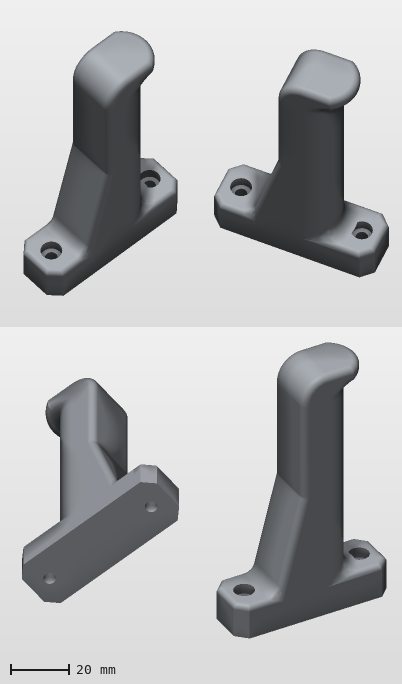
import cadquery as cq

WIDTH = 20.0
BASE_LENGTH = 60.0
BASE_HEIGHT = 13.0
CORNER_CHAMFER = 4.0
BASE_ROUND = 2.0

HOLE_OFFSET = 22.5
HOLE_DIAMETER = 4.3
BORE_DIAMETER = 7.4
BORE_DEPTH = 4.0

HEIGHT = 98.0
HALF_WIDTH = WIDTH / 2
BACK_CENTER_Y = 5.0
FRONT_Y = -5.0
BACK_Y = BACK_CENTER_Y + HALF_WIDTH
CROWN_RADIUS = BACK_CENTER_Y - FRONT_Y
SLOPE_TOP_Z = 50.5
SLOPE_FOOT_Y = -14.7

HEAD_THICKNESS = 5.5
HEAD_TIP_Y = 21.0
HEAD_BOTTOM_Z = HEIGHT - HEAD_THICKNESS

EDGE_ROUND = 2.45
BLEND_RADIUS = 5.0
TOLERANCE = 0.05


def make_base():
    """Chamfered plate with a rounded top rim."""
    plate = cq.Workplane("XY").box(WIDTH, BASE_LENGTH, BASE_HEIGHT, centered=(True, True, False))
    plate = plate.edges("|Z").chamfer(CORNER_CHAMFER)
    return plate.faces(">Z").edges().fillet(BASE_ROUND)


def make_hook():
    """Round back of the post flaring through a concave neck into the flat-topped head."""
    flare_radius = HALF_WIDTH + BLEND_RADIUS
    flare = (
        cq.Workplane("XZ", origin=(0, BACK_CENTER_Y, 0))
        .lineTo(HALF_WIDTH, 0)
        .lineTo(HALF_WIDTH, HEAD_BOTTOM_Z - BLEND_RADIUS)
        .radiusArc((flare_radius, HEAD_BOTTOM_Z), BLEND_RADIUS)
        .lineTo(BASE_LENGTH, HEAD_BOTTOM_Z)
        .lineTo(BASE_LENGTH, HEIGHT)
        .lineTo(0, HEIGHT)
        .close()
        .revolve(360, (0, 0, 0), (0, 1, 0))
    )
    outline = (
        cq.Workplane("XY")
        .moveTo(-HALF_WIDTH, BACK_CENTER_Y)
        .lineTo(-HALF_WIDTH, BACK_Y)
        .threePointArc((0, HEAD_TIP_Y), (HALF_WIDTH, BACK_Y))
        .lineTo(HALF_WIDTH, BACK_CENTER_Y)
        .close()
        .extrude(HEIGHT)
    )
    return flare.intersect(outline)


def make_web():
    """Flat-sided front of the post: rounded crown, upright face, softened bend and sloped foot."""
    slope_run = (FRONT_Y - SLOPE_FOOT_Y) / (SLOPE_TOP_Z - BASE_HEIGHT)
    ground_y = SLOPE_FOOT_Y - slope_run * BASE_HEIGHT
    web = (
        cq.Workplane("YZ")
        .moveTo(BACK_CENTER_Y, 0)
        .lineTo(BACK_CENTER_Y, HEIGHT)
        .radiusArc((FRONT_Y, HEIGHT - CROWN_RADIUS), -CROWN_RADIUS)
        .lineTo(FRONT_Y, SLOPE_TOP_Z)
        .lineTo(ground_y, 0)
        .close()
        .extrude(HALF_WIDTH, both=True)
    )
    bend = cq.selectors.NearestToPointSelector((0, FRONT_Y, SLOPE_TOP_Z))
    return web.edges(bend).fillet(EDGE_ROUND)


def edges_centered_in(part, y_range, z_range):
    """Edges whose centers lie inside the given Y and Z ranges."""
    corner = (-WIDTH, y_range[0], z_range[0])
    opposite = (WIDTH, y_range[1], z_range[1])
    return part.edges(cq.selectors.BoxSelector(corner, opposite))


def make_post():
    """Post with its front, crown, head rim and head underside rounded."""
    post = make_web().union(make_hook()).clean()
    web_y = (-BASE_LENGTH, BACK_CENTER_Y - TOLERANCE)
    hook_y = (BACK_CENTER_Y + TOLERANCE, HEAD_TIP_Y)
    front = edges_centered_in(post, web_y, (0, HEIGHT)).edges("not(|X or |Y)")
    rim = edges_centered_in(post, hook_y, (HEIGHT - TOLERANCE, HEIGHT + TOLERANCE))
    underside_z = (HEAD_BOTTOM_Z - BLEND_RADIUS + TOLERANCE, HEAD_BOTTOM_Z + TOLERANCE)
    underside = edges_centered_in(post, hook_y, underside_z)
    neck_sides = underside.edges("not %CIRCLE")
    tip = underside.edges(">Y")
    return front.add(rim).add(neck_sides).add(tip).fillet(EDGE_ROUND)


def blend_to_base(body):
    """Fillet the post's front and back feet where they meet the rounded base top."""
    foot_z = (BASE_HEIGHT - BASE_ROUND + TOLERANCE, BASE_HEIGHT + TOLERANCE)
    back_foot = edges_centered_in(body, (BACK_CENTER_Y, BACK_Y), foot_z)
    body = back_foot.edges("not |Y").fillet(BLEND_RADIUS)
    front_foot_y = (SLOPE_FOOT_Y - BASE_ROUND, SLOPE_FOOT_Y + EDGE_ROUND)
    front_foot = edges_centered_in(body, front_foot_y, foot_z)
    return front_foot.edges("not |Y").fillet(BLEND_RADIUS)


def drill_base(body):
    """Counterbored screw hole at each end of the base."""
    seat_z = BASE_HEIGHT - BORE_DEPTH
    for y in (-HOLE_OFFSET, HOLE_OFFSET):
        hole = cq.Workplane("XY").center(0, y).circle(HOLE_DIAMETER / 2).extrude(BASE_HEIGHT)
        bore = cq.Workplane("XY", origin=(0, y, seat_z)).circle(BORE_DIAMETER / 2).extrude(BORE_DEPTH)
        body = body.cut(hole).cut(bore)
    return body


result = drill_base(blend_to_base(make_base().union(make_post())))